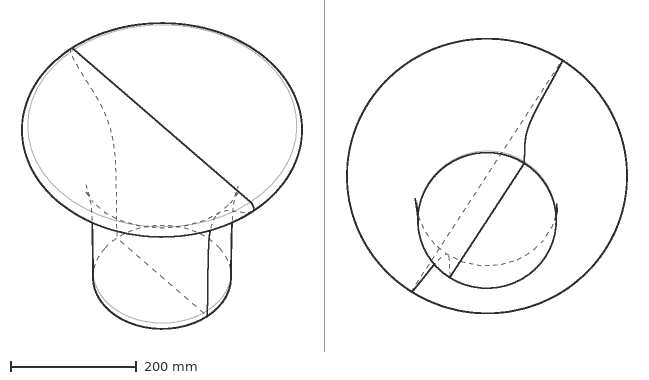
import cadquery as cq

height = 365.0
rim_radius = 223.0
rim_height = 354.5
top_radius = 214.0
rim_shoulder = (221.0, 361.0)
stem_radius = 110.0
base_height = 14.5
half_turn = 180

flare_points = [
    (111.5, 120.5),
    (114.0, 192.0),
    (122.0, 238.5),
    (137.5, 273.0),
    (161.5, 299.5),
    (192.0, 321.0),
    (214.0, 340.5),
]


def half_pedestal(start_angle):
    """Half of the flared pedestal, revolved half a turn about Z from the given angle."""
    profile = (
        cq.Workplane("XZ")
        .lineTo(stem_radius, 0)
        .lineTo(stem_radius, base_height)
        .spline(
            flare_points + [(rim_radius, rim_height), rim_shoulder, (top_radius, height)],
            tangents=[(0, 1), (-1, 0)],
            includeCurrent=True,
        )
        .lineTo(0, height)
        .close()
    )
    half = profile.revolve(half_turn, (0, 0, 0), (0, 1, 0))
    return half.rotate((0, 0, 0), (0, 0, 1), start_angle)


halves = [half_pedestal(angle).val() for angle in (0, half_turn)]

result = cq.Compound.makeCompound(halves)